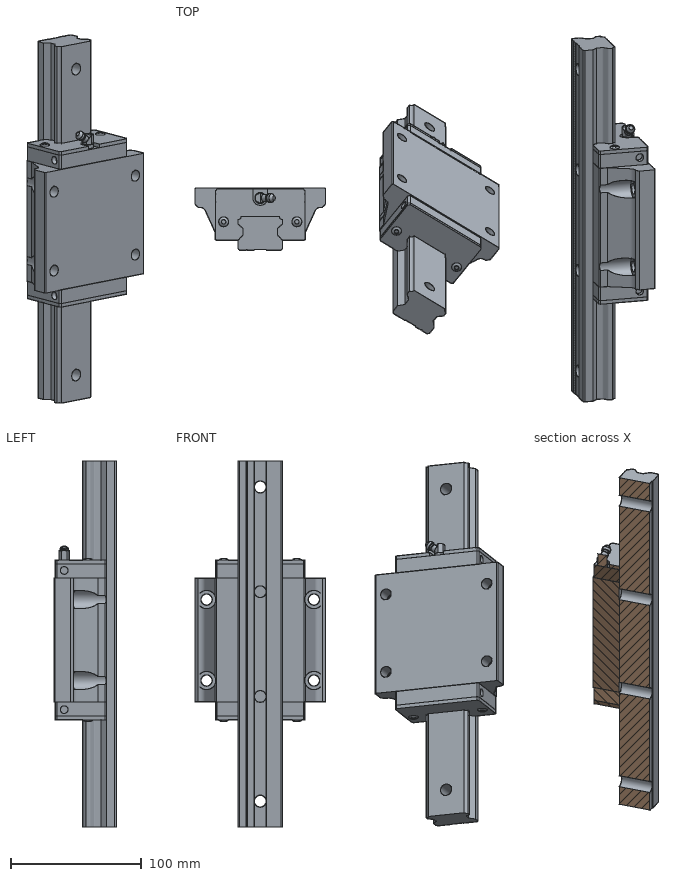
import cadquery as cq
import math


rail_length = 280.0
rail_half_width = 17.0
rail_height = 26.0
base_chamfer = 1.5
waist_half_width = 13.2
foot_top_y = 7.5
waist_bottom_y = 11.8
waist_top_y = 16.8
head_bottom_y = 20.2
head_corner_radius = 2.5
head_underside_fillet = 1.5
rail_hole_diameter = 9.0
rail_hole_count = 4
rail_hole_end_distance = 20.0
base_recess_half_width = 4.5
base_recess_mouth_half_width = 4.8
base_recess_depth = 0.5
mark_groove_x = -10.5
mark_groove_width = 1.5
mark_groove_depth = 0.5

carriage_center_z = 3.0
block_length = 94.5
top_y = 48.0
carriage_bottom_y = 7.5
flange_width = 100.0
flange_thickness = 15.0
flange_top_chamfer = 0.8
flange_bottom_chamfer = 2.5
flange_flat_end_x = 46.0
flange_root_x = 42.0
flange_root_drop = 2.5
block_half_width = 34.7
block_side_height = 6.7
block_bottom_chamfer = 1.0
mount_hole_diameter = 8.5
mount_spotface_diameter = 14.0
mount_hole_spacing_x = 82.0
mount_hole_spacing_z = 62.0

cap_thickness = 11.0
seal_thickness = 2.8
cap_half_width = 34.2
cap_top_y = 47.0
cap_top_chamfer = 1.5
cap_bottom_chamfer = 1.0
port_diameter = 6.0
port_depth = 4.2
port_offset = 6.0
screw_x = 28.0
screw_y = 21.8
screw_head_diameter = 7.5
screw_head_height = 1.7
screw_socket_diameter = 3.5
screw_socket_depth = 1.0

nipple_y = 40.0
nipple_slot_radius = 5.5
nipple_base_diameter = 8.5
nipple_hex_corners = 8.0
nipple_hex_rise = 7.3
nozzle_elevation = 35.0
nozzle_seat_x = 2.5
shank_diameter = 5.5
shank_length = 3.5
neck_diameter = 4.5
neck_end = 5.3
nozzle_head_diameter = 6.7
nozzle_head_end = 7.5
nozzle_tip_diameter = 3.5
nozzle_tip_end = 9.8

flange_half_width = flange_width / 2
flange_bottom_y = top_y - flange_thickness
block_top_z = carriage_center_z + block_length / 2
block_bottom_z = carriage_center_z - block_length / 2


def along_z(start_z):
    """Workplane whose X and Y are the part's X and Y, placed at height start_z."""
    return cq.Workplane("XY").workplane(offset=start_z)


def rail_profile():
    """Waisted rail outline at the lower end of the rail."""
    head_corner_x = rail_half_width - head_corner_radius
    head_corner_y = rail_height - head_corner_radius
    arc_dip = head_corner_radius * math.sqrt(0.5)
    arc_middle_x = rail_half_width - arc_dip
    arc_middle_y = rail_height - arc_dip
    return (
        along_z(-rail_length / 2)
        .moveTo(rail_half_width - base_chamfer, 0)
        .lineTo(rail_half_width, base_chamfer)
        .lineTo(rail_half_width, foot_top_y)
        .lineTo(waist_half_width, waist_bottom_y)
        .lineTo(waist_half_width, waist_top_y)
        .lineTo(rail_half_width, head_bottom_y)
        .lineTo(rail_half_width, head_corner_y)
        .threePointArc((arc_middle_x, arc_middle_y), (head_corner_x, rail_height))
        .lineTo(-head_corner_x, rail_height)
        .threePointArc((-arc_middle_x, arc_middle_y), (-rail_half_width, head_corner_y))
        .lineTo(-rail_half_width, head_bottom_y)
        .lineTo(-waist_half_width, waist_top_y)
        .lineTo(-waist_half_width, waist_bottom_y)
        .lineTo(-rail_half_width, foot_top_y)
        .lineTo(-rail_half_width, base_chamfer)
        .lineTo(-rail_half_width + base_chamfer, 0)
        .close()
    )


def cylinders_along_y(points_xz, diameter, start_y, end_y):
    """Cylinders parallel to Y at the given (x, z) points."""
    return (
        cq.Workplane("XZ", origin=(0, start_y, 0))
        .pushPoints(points_xz)
        .circle(diameter / 2)
        .extrude(start_y - end_y)
    )


def make_rail_blank():
    """Full-length rail bar without holes or grooves; it also cuts the channels it runs through."""
    bar = rail_profile().extrude(rail_length)
    for side in (-1, 1):
        for corner_x, corner_y in (
            (side * rail_half_width, head_bottom_y),
            (side * waist_half_width, waist_top_y),
        ):
            corner_edge = cq.selectors.NearestToPointSelector((corner_x, corner_y, 0))
            bar = bar.edges("|Z").edges(corner_edge).fillet(head_underside_fillet)
    return bar


def make_rail():
    """Rail with its base recess, marking groove and mounting holes."""
    rail = make_rail_blank()

    recess = (
        along_z(-rail_length / 2)
        .polyline([
            (-base_recess_mouth_half_width, 0),
            (-base_recess_half_width, base_recess_depth),
            (base_recess_half_width, base_recess_depth),
            (base_recess_mouth_half_width, 0),
        ])
        .close()
        .extrude(rail_length)
    )

    groove = (
        along_z(-rail_length / 2)
        .polyline([
            (mark_groove_x - mark_groove_width / 2, 0),
            (mark_groove_x, mark_groove_depth),
            (mark_groove_x + mark_groove_width / 2, 0),
        ])
        .close()
        .extrude(rail_length)
    )

    first_hole_z = -rail_length / 2 + rail_hole_end_distance
    hole_pitch = (rail_length - 2 * rail_hole_end_distance) / (rail_hole_count - 1)
    hole_points = [(0, first_hole_z + i * hole_pitch) for i in range(rail_hole_count)]
    holes = cylinders_along_y(hole_points, rail_hole_diameter, 0, rail_height)

    return rail.cut(recess).cut(groove).cut(holes)


def half_block():
    """Half of the block on the +X side, before the rail channel and holes are cut."""
    return (
        along_z(block_bottom_z)
        .moveTo(0, top_y)
        .lineTo(flange_half_width - flange_top_chamfer, top_y)
        .lineTo(flange_half_width, top_y - flange_top_chamfer)
        .lineTo(flange_half_width, flange_bottom_y + flange_bottom_chamfer)
        .lineTo(flange_half_width - flange_bottom_chamfer, flange_bottom_y)
        .lineTo(flange_flat_end_x, flange_bottom_y)
        .tangentArcPoint((flange_root_x, flange_bottom_y - flange_root_drop), relative=False)
        .lineTo(block_half_width, carriage_bottom_y + block_side_height)
        .lineTo(block_half_width, carriage_bottom_y + block_bottom_chamfer)
        .lineTo(block_half_width - block_bottom_chamfer, carriage_bottom_y)
        .lineTo(0, carriage_bottom_y)
        .close()
        .extrude(block_length)
    )


def make_block():
    """Flanged block with the rail channel and four mounting holes."""
    right_half = half_block()
    block = right_half.union(right_half.mirror("YZ")).cut(make_rail_blank())

    hole_points = [
        (side_x * mount_hole_spacing_x / 2, carriage_center_z + side_z * mount_hole_spacing_z / 2)
        for side_x in (-1, 1)
        for side_z in (-1, 1)
    ]
    holes = cylinders_along_y(hole_points, mount_hole_diameter, carriage_bottom_y, top_y)
    spotfaces = cylinders_along_y(
        hole_points, mount_spotface_diameter, carriage_bottom_y, flange_bottom_y
    )
    return block.cut(holes).cut(spotfaces)


def end_plate(start_z, thickness):
    """Plate with the end-cap outline and the rail channel."""
    return (
        along_z(start_z)
        .moveTo(-cap_half_width, carriage_bottom_y + cap_bottom_chamfer)
        .lineTo(-cap_half_width + cap_bottom_chamfer, carriage_bottom_y)
        .lineTo(cap_half_width - cap_bottom_chamfer, carriage_bottom_y)
        .lineTo(cap_half_width, carriage_bottom_y + cap_bottom_chamfer)
        .lineTo(cap_half_width, cap_top_y - cap_top_chamfer)
        .lineTo(cap_half_width - cap_top_chamfer, cap_top_y)
        .lineTo(-cap_half_width + cap_top_chamfer, cap_top_y)
        .lineTo(-cap_half_width, cap_top_y - cap_top_chamfer)
        .close()
        .extrude(thickness)
        .cut(make_rail_blank())
    )


def make_upper_cap():
    """End cap at the +Z end, with a blind grease port in each side."""
    cap = end_plate(block_top_z, cap_thickness)
    for side in (-1, 1):
        port = (
            cq.Workplane("YZ", origin=(side * cap_half_width, 0, 0))
            .center(nipple_y, block_top_z + port_offset)
            .circle(port_diameter / 2)
            .extrude(-side * port_depth)
        )
        cap = cap.cut(port)
    return cap


def screw_head(x, base_z):
    """Domed screw head, turned about an axis parallel to Z, with a blind socket."""
    head_radius = screw_head_diameter / 2
    dome_radius = (head_radius**2 + screw_head_height**2) / (2 * screw_head_height)
    middle_r = head_radius / 2
    middle_z = screw_head_height - dome_radius + math.sqrt(dome_radius**2 - middle_r**2)
    head = (
        cq.Workplane("XZ", origin=(x, screw_y, base_z))
        .lineTo(head_radius, 0)
        .threePointArc((middle_r, middle_z), (0, screw_head_height))
        .close()
        .revolve(360, (0, 0), (0, 1))
    )
    socket = (
        along_z(base_z + screw_head_height - screw_socket_depth)
        .center(x, screw_y)
        .circle(screw_socket_diameter / 2)
        .extrude(screw_socket_depth)
    )
    return head.cut(socket)


def make_upper_seal():
    """End seal at the +Z end with its two screw heads."""
    seal_bottom_z = block_top_z + cap_thickness
    seal = end_plate(seal_bottom_z, seal_thickness)
    for side in (-1, 1):
        seal = seal.union(screw_head(side * screw_x, seal_bottom_z + seal_thickness))
    return seal


def cut_nipple_slot(seal):
    """Cut the round-bottomed slot that leaves room for the nipple."""
    slot_bottom_z = block_top_z + cap_thickness
    round_end = (
        along_z(slot_bottom_z)
        .center(0, nipple_y)
        .circle(nipple_slot_radius)
        .extrude(seal_thickness)
    )
    slot_height = top_y - nipple_y
    straight_part = (
        along_z(slot_bottom_z)
        .center(0, nipple_y + slot_height / 2)
        .rect(2 * nipple_slot_radius, slot_height)
        .extrude(seal_thickness)
    )
    return seal.cut(round_end).cut(straight_part)


def to_lower_end(body):
    """Mirror a body from the +Z end of the carriage to its -Z end."""
    return body.mirror("XY", (0, 0, carriage_center_z))


def make_nipple():
    """Round base in the seal slot, a hexagon above it and a nozzle tilted towards +X."""
    base_bottom_z = block_top_z + cap_thickness
    hex_bottom_z = base_bottom_z + seal_thickness
    hex_top_z = hex_bottom_z + nipple_hex_rise
    hex_half_flats = nipple_hex_corners / 2 * math.cos(math.pi / 6)
    elevation = math.radians(nozzle_elevation)

    base = (
        along_z(base_bottom_z)
        .center(0, nipple_y)
        .circle(nipple_base_diameter / 2)
        .extrude(seal_thickness)
    )
    hexagon = (
        along_z(hex_bottom_z)
        .center(0, nipple_y)
        .transformed(rotate=(0, 0, 90))
        .polygon(6, nipple_hex_corners)
        .extrude(nipple_hex_rise)
    )

    seat_slope = 1 / math.tan(elevation)
    seat_drop = hex_half_flats * seat_slope
    seat_cut = (
        cq.Workplane("XZ", origin=(0, nipple_y, hex_top_z))
        .polyline([(0, 0), (hex_half_flats, -seat_drop), (hex_half_flats, 0)])
        .close()
        .extrude(nipple_hex_corners / 2, both=True)
    )

    nozzle_plane = cq.Plane(
        origin=(nozzle_seat_x, nipple_y, hex_top_z - nozzle_seat_x * seat_slope),
        xDir=(-math.sin(elevation), 0, math.cos(elevation)),
        normal=(0, -1, 0),
    )
    nozzle = (
        cq.Workplane(nozzle_plane)
        .polyline([
            (0, 0),
            (shank_diameter / 2, 0),
            (shank_diameter / 2, -shank_length),
            (neck_diameter / 2, -shank_length),
            (neck_diameter / 2, -neck_end),
            (nozzle_head_diameter / 2, -neck_end),
            (nozzle_head_diameter / 2, -nozzle_head_end),
            (nozzle_tip_diameter / 2, -nozzle_tip_end),
            (0, -nozzle_tip_end),
        ])
        .close()
        .revolve(360, (0, 0), (0, 1))
    )
    return hexagon.cut(seat_cut).union(base).union(nozzle)


rail = make_rail()
block = make_block()
upper_cap = make_upper_cap()
lower_cap = to_lower_end(upper_cap)
plain_seal = make_upper_seal()
upper_seal = cut_nipple_slot(plain_seal)
lower_seal = to_lower_end(plain_seal)
nipple = make_nipple()

result = cq.Compound.makeCompound([
    rail.val(),
    block.val(),
    upper_cap.val(),
    lower_cap.val(),
    upper_seal.val(),
    lower_seal.val(),
    nipple.val(),
])